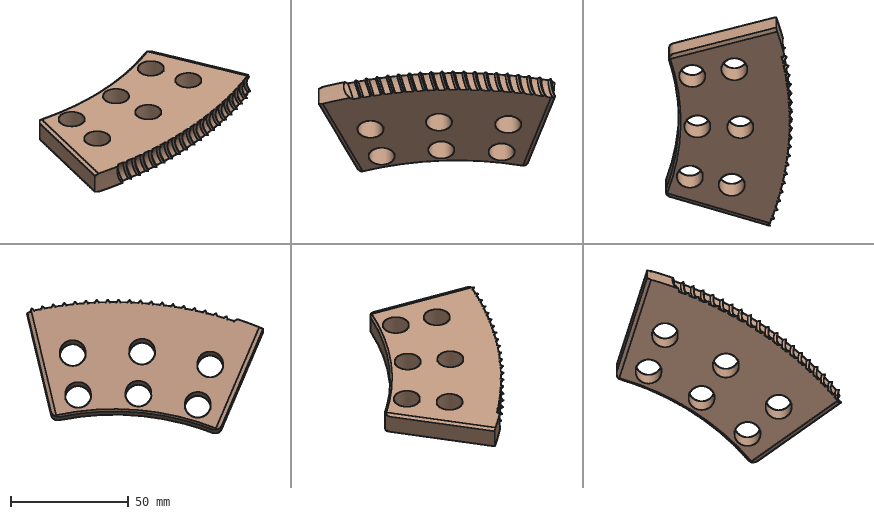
import cadquery as cq
import math

segment_angle = 36.0
outer_radius = 163.7
inner_radius = 115.15
thickness = 9.49
half_thickness = thickness / 2
corner_radius = 3.175

inner_bevel = 0.9
end_bevel_width = 1.76
end_bevel_height = 0.63

hole_diameter = 11.11
hole_circle_radii = [123.15, 141.45]
hole_spoke_angles = [6.0, 18.0, 30.0]

teeth_per_segment = 22
tooth_pitch_angle = segment_angle / teeth_per_segment
gap_count = 20
first_gap_angle = 5.375
tooth_twist = tooth_pitch_angle / 2
tooth_depth = 1.05
root_half_width = 1.45
worm_radius = 7.9
throat_root_radius = 160.9
worm_axis_radius = throat_root_radius + worm_radius
tooth_half_width = outer_radius * math.radians(tooth_pitch_angle / 2)
flank_slope = (tooth_half_width - root_half_width) / tooth_depth
gap_section_levels = [-1.05, -0.55, 0.0, 0.55, 1.05]

clearance = 1.0


def polar(radius, angle):
    """Point at a radius and an angle in degrees around the wheel axis."""
    a = math.radians(angle)
    return (radius * math.cos(a), radius * math.sin(a))


def make_blank():
    """Ring sector with its two inner corners rounded."""
    blank = (
        cq.Workplane("XY")
        .workplane(offset=-half_thickness)
        .moveTo(*polar(inner_radius, 0))
        .lineTo(*polar(outer_radius, 0))
        .threePointArc(polar(outer_radius, segment_angle / 2), polar(outer_radius, segment_angle))
        .lineTo(*polar(inner_radius, segment_angle))
        .threePointArc(polar(inner_radius, segment_angle / 2), polar(inner_radius, 0))
        .close()
        .extrude(thickness)
    )
    return blank.edges("|Z").edges(inner_corner_box()).fillet(corner_radius)


def inner_corner_box():
    """Selector for the edges close to the inner arc."""
    x_far, y_far = polar(inner_radius, segment_angle)
    low = (x_far - clearance, -clearance, -thickness)
    high = (inner_radius + clearance, y_far + clearance, thickness)
    return cq.selectors.BoxSelector(low, high)


def inner_bevel_cutter():
    """Ring that bevels the top edge of the inner arc."""
    reach = inner_bevel + clearance
    return (
        cq.Workplane("XZ")
        .moveTo(inner_radius - clearance, half_thickness - reach)
        .lineTo(inner_radius + reach, half_thickness + clearance)
        .lineTo(inner_radius - clearance, half_thickness + clearance)
        .close()
        .revolve(360, (0, 0, 0), (0, 1, 0))
    )


def end_bevel_cutter():
    """Wedge that bevels the top edge of the end face at angle 0."""
    slope = end_bevel_height / end_bevel_width
    return (
        cq.Workplane("YZ")
        .workplane(offset=inner_radius - clearance)
        .moveTo(-clearance, half_thickness - end_bevel_height - clearance * slope)
        .lineTo(end_bevel_width + clearance, half_thickness + clearance * slope)
        .lineTo(-clearance, half_thickness + clearance * slope)
        .close()
        .extrude(outer_radius - inner_radius + 2 * clearance)
    )


def gap_cutter():
    """One tooth gap: trapezoids lofted along Z, following the worm and twisting with it."""
    mouth_radius = outer_radius + clearance
    wires = []
    for level in gap_section_levels:
        z = level * half_thickness
        root_radius = worm_axis_radius - math.sqrt(worm_radius**2 - z**2)
        half_mouth = root_half_width + (mouth_radius - root_radius) * flank_slope
        points = [
            (root_radius, -root_half_width),
            (root_radius, root_half_width),
            (mouth_radius, half_mouth),
            (mouth_radius, -half_mouth),
        ]
        twist = -level * tooth_twist / 2
        section = cq.Wire.makePolygon([cq.Vector(x, y, z) for x, y in points], close=True)
        wires.append(section.rotate(cq.Vector(0, 0, 0), cq.Vector(0, 0, 1), twist))
    return cq.Workplane(cq.Solid.makeLoft(wires))


def hole_cutter():
    """Cylinders for all the mounting holes."""
    hole_centres = [polar(r, a) for r in hole_circle_radii for a in hole_spoke_angles]
    return (
        cq.Workplane("XY")
        .workplane(offset=-half_thickness)
        .pushPoints(hole_centres)
        .circle(hole_diameter / 2)
        .extrude(thickness)
    )


blank = make_blank()

start_bevel = end_bevel_cutter()
finish_bevel = start_bevel.mirror("XZ").rotate((0, 0, 0), (0, 0, 1), segment_angle)
for bevel in [inner_bevel_cutter(), start_bevel, finish_bevel]:
    blank = blank.cut(bevel).cut(bevel.mirror("XY"))

result = blank.cut(hole_cutter())

gap = gap_cutter()
for index in range(gap_count):
    gap_angle = first_gap_angle + index * tooth_pitch_angle
    result = result.cut(gap.rotate((0, 0, 0), (0, 0, 1), gap_angle))